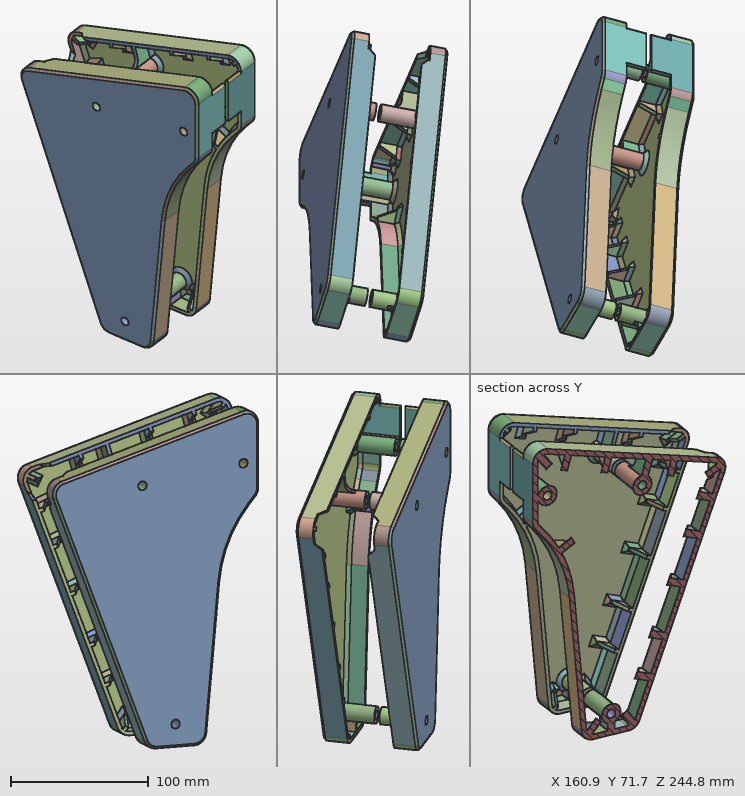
import cadquery as cq
import math

TOTAL_WIDTH = 160.9
TOTAL_HEIGHT = 244.83
CORNER_RADIUS = 10.0
WAIST_RADIUS = 100.0
TOP_SLOPE = 16.2
LEFT_LEAN = 21.1
SHOULDER_LEAN = 40.0
WAIST_LEAN = 5.2
SHOULDER_Z = 183.9
WAIST_FOOT_X = -41.4

TOTAL_DEPTH = 71.7
SHELL_GAP = 4.0
POST_DEPTH = (TOTAL_DEPTH - SHELL_GAP) / 2
RIM_DEPTH = 18.5
FLOOR = 3.0
WALL = 3.0
OUTER_CHAMFER = 1.85
ROOT_CHAMFER = 3.0

POST_DIAMETER = 13.0
SCREW_DIAMETER = 6.6
UPPER_LEFT_POST = (-91.4, 195.8)
RIGHT_POST = (-12.4, 206.5)
BOTTOM_POST = (-65.5, 17.4)
POSTS = (UPPER_LEFT_POST, RIGHT_POST, BOTTOM_POST)

TAB_THICKNESS = 3.0
TAB_TOP = TOTAL_HEIGHT - CORNER_RADIUS
WEB_THICKNESS = 3.0
WEB_CHAMFER = 3.0

RIB_THICKNESS = 3.0
RIB_HEIGHT = RIM_DEPTH - FLOOR
WALL_RIB_TOP = 3.0
WALL_RIB_REACH = 12.0
ROOT_EMBED = WALL / 2
LEFT_RIB_PLACES = (20.9, 50.7, 89.2, 130.9, 163.6)
TOP_RIB_PLACES = (36.0, 93.0, 128.0)
WAIST_RIB_ANGLE = 152.0
UPPER_RIB_SWEEP = 7.2
BOTTOM_RIB_SWEEP = 3.0

NOTCH_DEPTH = 5.6
NOTCH_FLOOR_RADIUS = 11.0
NOTCH_RIM_RADIUS = 14.6


def direction(angle):
    return (math.cos(math.radians(angle)), math.sin(math.radians(angle)))


def step(point, angle, distance):
    ux, uz = direction(angle)
    return (point[0] + distance * ux, point[1] + distance * uz)


def crossing(point_a, angle_a, point_b, angle_b):
    """Crossing of two lines, each given by a point and an angle from X."""
    ax, az = direction(angle_a)
    bx, bz = direction(angle_b)
    dx, dz = point_b[0] - point_a[0], point_b[1] - point_a[1]
    return step(point_a, angle_a, (dx * bz - dz * bx) / (ax * bz - az * bx))


LEFT_ANGLE = -90 + LEFT_LEAN
TOP_ARC_CENTRE = (-CORNER_RADIUS, TOTAL_HEIGHT - CORNER_RADIUS)
LEFT_ARC_X = CORNER_RADIUS - TOTAL_WIDTH
LEFT_ARC_CENTRE = crossing(TOP_ARC_CENTRE, TOP_SLOPE, (LEFT_ARC_X, 0), 90)
TOP_START = step(LEFT_ARC_CENTRE, TOP_SLOPE + 90, CORNER_RADIUS)
LEFT_START = step(LEFT_ARC_CENTRE, LEFT_ANGLE - 90, CORNER_RADIUS)
ORIGIN = (0, 0)

TOP_RIGHT = crossing(TOP_START, TOP_SLOPE, ORIGIN, 90)
SHOULDER = (0, SHOULDER_Z)
WAIST = crossing(SHOULDER, 90 - SHOULDER_LEAN, (WAIST_FOOT_X, 0), 90 - WAIST_LEAN)
BOTTOM_RIGHT = (WAIST_FOOT_X, 0)
BOTTOM_LEFT = crossing(LEFT_START, LEFT_ANGLE, ORIGIN, 0)
TOP_LEFT = crossing(TOP_START, TOP_SLOPE, LEFT_START, LEFT_ANGLE)
CORNERS = (TOP_RIGHT, SHOULDER, WAIST, BOTTOM_RIGHT, BOTTOM_LEFT, TOP_LEFT)

WAIST_ARC_CENTRE = crossing(
    step(SHOULDER, -SHOULDER_LEAN, WAIST_RADIUS), 90 - SHOULDER_LEAN,
    step(BOTTOM_RIGHT, -WAIST_LEAN, WAIST_RADIUS), 90 - WAIST_LEAN,
)


def plan(depth):
    return cq.Workplane("XZ", origin=(0, depth, 0))


def outline_block(depth):
    block = plan(0).polyline(CORNERS).close().extrude(-depth)
    for corner in CORNERS:
        radius = WAIST_RADIUS if corner == WAIST else CORNER_RADIUS
        near = cq.selectors.NearestToPointSelector((corner[0], depth / 2, corner[1]))
        block = block.edges("|Y").edges(near).fillet(radius)
    return block


def inset_block(inset, depth):
    outline = outline_block(depth).faces("<Y").wires().val()
    return cq.Workplane(cq.Solid.extrudeLinear(outline.offset2D(-inset)[0], [], cq.Vector(0, depth, 0)))


def tray():
    body = outline_block(RIM_DEPTH).faces("<Y").edges().chamfer(OUTER_CHAMFER)
    pocket = inset_block(WALL, POST_DEPTH).translate((0, FLOOR, 0))
    return body.cut(pocket.faces("<Y").edges().chamfer(ROOT_CHAMFER))


def post(axis):
    radius = POST_DIAMETER / 2
    shaft = plan(FLOOR / 2).center(*axis).circle(radius).extrude(FLOOR / 2 - POST_DEPTH)
    root = cq.Solid.makeCone(
        radius + ROOT_CHAMFER, radius, ROOT_CHAMFER, cq.Vector(axis[0], FLOOR, axis[1]), cq.Vector(0, 1, 0)
    )
    return shaft.union(cq.Workplane(root))


def tab():
    inner = -TAB_THICKNESS
    shoulder = TAB_TOP - TAB_THICKNESS / 2
    bottom = RIGHT_POST[1] - POST_DIAMETER / 2
    profile = plan(OUTER_CHAMFER).moveTo(inner, bottom).lineTo(0, bottom).lineTo(0, shoulder)
    profile = profile.threePointArc((inner / 2, TAB_TOP), (inner, shoulder)).close()
    return profile.extrude(OUTER_CHAMFER - POST_DEPTH)


def web():
    """Plate from the right post to the tab, flared where it meets the tab."""
    axis_x, axis_z = RIGHT_POST
    low = axis_z - WEB_THICKNESS / 2
    high = axis_z + WEB_THICKNESS / 2
    tab_face = -TAB_THICKNESS
    flare = tab_face - WEB_CHAMFER
    profile = [
        (axis_x, low), (flare, low), (tab_face, low - WEB_CHAMFER),
        (tab_face, high + WEB_CHAMFER), (flare, high), (axis_x, high),
    ]
    return plan(FLOOR / 2).polyline(profile).close().extrude(FLOOR / 2 - POST_DEPTH)


def rib(edge_point, inward_angle, reach, sketch_side):
    """Upright rib with a flared root, standing on the floor inside the outline's edge point.

    sketch_side draws the closed side profile on a workplane whose x is the distance from the
    wall's inner face and whose y is the height above the floor.
    """
    foot_x, foot_z = step(edge_point, inward_angle, WALL)
    origin = cq.Vector(foot_x, FLOOR, foot_z)
    inward_x, inward_z = direction(inward_angle)
    inward = cq.Vector(inward_x, 0, inward_z)
    along = inward.cross(cq.Vector(0, 1, 0))

    plane = cq.Plane(origin, inward, along)
    plate = sketch_side(cq.Workplane(plane)).extrude(RIB_THICKNESS / 2, both=True)
    root = cq.Workplane(plane).moveTo(-ROOT_EMBED, -ROOT_EMBED).lineTo(-ROOT_EMBED, ROOT_CHAMFER)
    root = root.lineTo(reach + ROOT_CHAMFER, ROOT_CHAMFER).lineTo(reach + ROOT_CHAMFER, -ROOT_EMBED).close()
    root = root.extrude(RIB_THICKNESS / 2 + ROOT_CHAMFER, both=True)
    return plate.union(root.faces(">Y").edges().chamfer(ROOT_CHAMFER))


def wall_rib(edge_point, inward_angle):
    """Rib that falls from the wall's rim to the floor."""
    def sketch_side(plane):
        return plane.polyline([
            (-ROOT_EMBED, -ROOT_EMBED), (-ROOT_EMBED, RIB_HEIGHT), (WALL_RIB_TOP, RIB_HEIGHT),
            (WALL_RIB_REACH, 0), (WALL_RIB_REACH, -ROOT_EMBED),
        ]).close()

    return rib(edge_point, inward_angle, WALL_RIB_REACH, sketch_side)


def corner_rib(corner, inward_before, inward_after):
    """Wall rib on the middle of a rounded corner between two edges with these inward angles."""
    inward_angle = (inward_before + inward_after) / 2
    half_turn = math.radians(inward_after - inward_before) / 2
    corner_to_arc = CORNER_RADIUS * (1 / math.cos(half_turn) - 1)
    return wall_rib(step(corner, inward_angle, corner_to_arc), inward_angle)


def post_rib(axis, edge_point, inward_angle, sweep):
    """Rib between the wall and a post, level with the rim and swept up the post by an arc."""
    post_face = math.dist(edge_point, axis) - WALL - POST_DIAMETER / 2
    arc_start = (post_face - sweep, RIB_HEIGHT)
    arc_middle = (
        post_face - sweep * (1 - math.sqrt(0.5)),
        RIB_HEIGHT + sweep * (1 - math.sqrt(0.5)),
    )
    arc_end = (post_face, RIB_HEIGHT + sweep)
    inside_post = post_face + ROOT_EMBED

    def sketch_side(plane):
        side = plane.moveTo(-ROOT_EMBED, -ROOT_EMBED).lineTo(-ROOT_EMBED, RIB_HEIGHT).lineTo(*arc_start)
        side = side.threePointArc(arc_middle, arc_end)
        return side.lineTo(inside_post, arc_end[1]).lineTo(inside_post, -ROOT_EMBED).close()

    return rib(edge_point, inward_angle, post_face, sketch_side)


def ribs():
    top_inward = TOP_SLOPE - 90
    left_inward = LEFT_ANGLE + 90
    found = [wall_rib(step(LEFT_START, LEFT_ANGLE, place), left_inward) for place in LEFT_RIB_PLACES]
    found += [wall_rib(step(TOP_START, TOP_SLOPE, place), top_inward) for place in TOP_RIB_PLACES]
    found.append(wall_rib(step(WAIST_ARC_CENTRE, WAIST_RIB_ANGLE, WAIST_RADIUS), WAIST_RIB_ANGLE))
    top_foot = crossing(TOP_START, TOP_SLOPE, UPPER_LEFT_POST, top_inward)
    found.append(post_rib(UPPER_LEFT_POST, top_foot, top_inward, UPPER_RIB_SWEEP))
    found.append(post_rib(BOTTOM_POST, (BOTTOM_POST[0], 0), 90, BOTTOM_RIB_SWEEP))
    found.append(corner_rib(TOP_LEFT, top_inward, left_inward))
    found.append(corner_rib(BOTTOM_LEFT, left_inward, 90))
    found.append(corner_rib(BOTTOM_RIGHT, 90, 180 - WAIST_LEAN))
    found.append(corner_rib(TOP_RIGHT, 180, top_inward + 360))
    return found


def notch():
    base = cq.Vector(LEFT_ARC_CENTRE[0], RIM_DEPTH - NOTCH_DEPTH, LEFT_ARC_CENTRE[1])
    return cq.Workplane(
        cq.Solid.makeCone(NOTCH_FLOOR_RADIUS, NOTCH_RIM_RADIUS, NOTCH_DEPTH, base, cq.Vector(0, 1, 0))
    )


def shell():
    body = tray().union(tab()).union(web())
    for axis in POSTS:
        body = body.union(post(axis))
    for one in ribs():
        body = body.union(one)
    body = body.cut(notch())
    for axis in POSTS:
        body = body.cut(plan(0).center(*axis).circle(SCREW_DIAMETER / 2).extrude(-POST_DEPTH))
    return body


front_shell = shell().translate((0, -TOTAL_DEPTH / 2, 0))
back_shell = front_shell.mirror("XZ")
result = cq.Compound.makeCompound([front_shell.val(), back_shell.val()])